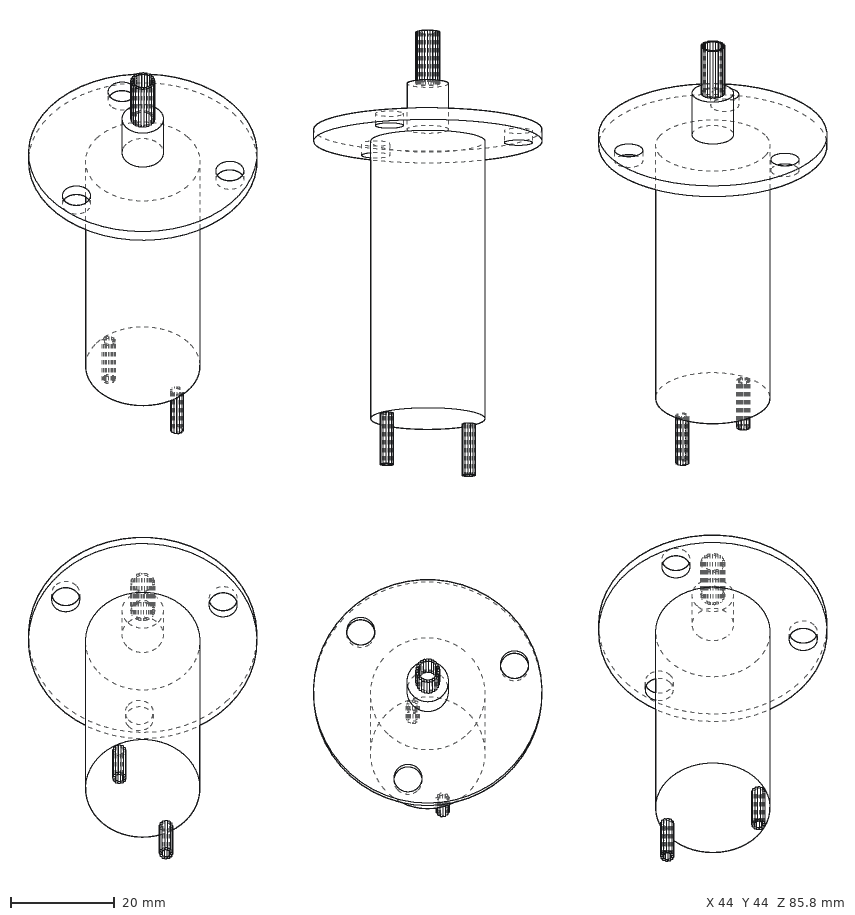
import cadquery as cq
import math

total_height = 85.8
wire_length = 10.0

body_diameter = 22.05
flange_diameter = 44.0
flange_thickness = 2.3
collar_diameter = 8.0
collar_height = 9.0

hole_count = 3
hole_diameter = 5.4
hole_circle_radius = 17.5
first_hole_angle = -90.0

wire_diameter = 0.53
wire_pitch = 0.54
upper_wire_count = 24
lower_bundle_sides = (-1, 1)
lower_bundle_x = 9.6
lower_wire_count = upper_wire_count // len(lower_bundle_sides)
wire_embed = 0.9

body_bottom = wire_length
collar_top = total_height - wire_length
flange_top = collar_top - collar_height
flange_bottom = flange_top - flange_thickness


def ring_radius(wire_count):
    """Radius that puts neighbouring wire centres one pitch apart."""
    return wire_pitch / (2 * math.sin(math.pi / wire_count))


def cylinder(diameter, bottom, top):
    """Cylinder about the Z axis between two levels."""
    return cq.Workplane("XY", origin=(0, 0, bottom)).circle(diameter / 2).extrude(top - bottom)


def wire_bundle(center_x, wire_count, bottom, top):
    """Hollow ring of upright round wires."""
    return (
        cq.Workplane("XY", origin=(center_x, 0, bottom))
        .polarArray(ring_radius(wire_count), 0, 360, wire_count)
        .circle(wire_diameter / 2)
        .extrude(top - bottom)
    )


def mounting_holes():
    """Cutters for the flange holes."""
    return (
        cq.Workplane("XY", origin=(0, 0, flange_bottom))
        .polarArray(hole_circle_radius, first_hole_angle, 360, hole_count)
        .circle(hole_diameter / 2)
        .extrude(flange_thickness)
    )


result = cylinder(body_diameter, body_bottom, flange_bottom)
result = result.union(cylinder(flange_diameter, flange_bottom, flange_top))
result = result.union(cylinder(collar_diameter, flange_top, collar_top))
result = result.cut(mounting_holes())

result = result.union(wire_bundle(0, upper_wire_count, collar_top - wire_embed, total_height))

for side in lower_bundle_sides:
    bundle = wire_bundle(side * lower_bundle_x, lower_wire_count, 0, body_bottom + wire_embed)
    result = result.union(bundle)